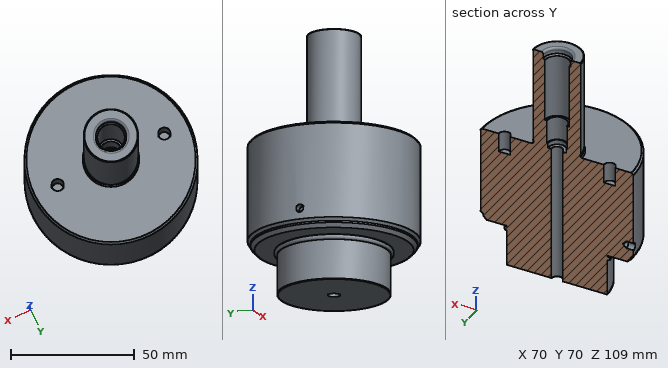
import cadquery as cq
import math

TOTAL_HEIGHT = 109.0
BODY_RADIUS = 35.0
BODY_TOP_Z = 63.0
BODY_TOP_CHAMFER = 0.9
BODY_BOTTOM_Z = 22.6
BODY_BOTTOM_CHAMFER = 1.2

RING_BOTTOM_Z = 19.0
RING_CHAMFER = 1.6

SPIGOT_RADIUS = 23.0
SPIGOT_CHAMFER = 0.3
BEAD_SECTION_RADIUS = 1.04
BEAD_CREST_RADIUS = 24.2
BEAD_CENTRE_Z = 17.8

SHAFT_RADIUS = 11.0
SHAFT_CHAMFER = 0.3
NECK_RADIUS = 10.8
NECK_HEIGHT = 0.7
NECK_TOP_HEIGHT = 1.7
FOOT_RADIUS = 11.4

MOUTH_RADIUS = 7.2
MOUTH_CURVE_RADIUS = 1.1
COUNTERBORE_RADIUS = 6.2
COUNTERBORE_DEPTH = 2.9
UPPER_BORE_RADIUS = 5.5
UPPER_BORE_DEPTH = 32.7
LOWER_BORE_RADIUS = 4.52
LOWER_BORE_DEPTH = 43.6
PILOT_RADIUS = 4.1
PILOT_DEPTH = 45.8
THROUGH_RADIUS = 2.5

PIN_HOLE_DIAMETER = 5.0
PIN_HOLE_DEPTH = 8.7
PIN_HOLE_OFFSET = 24.0
SIDE_HOLE_RADIUS = 1.58
SIDE_HOLE_Z = 27.1
SIDE_HOLE_DEPTH = 3.3


def make_outside():
    """Revolve the outer profile, drawn as (radius, height), about Z."""
    ring_radius = BODY_RADIUS - BODY_BOTTOM_CHAMFER
    bead_centre_radius = BEAD_CREST_RADIUS - BEAD_SECTION_RADIUS
    bead_bottom_z = BEAD_CENTRE_Z - BEAD_SECTION_RADIUS
    bead_top_z = BEAD_CENTRE_Z + BEAD_SECTION_RADIUS
    neck_bottom_z = BODY_TOP_Z + NECK_HEIGHT
    neck_top_z = BODY_TOP_Z + NECK_TOP_HEIGHT
    profile = (
        cq.Workplane("XZ")
        .lineTo(SPIGOT_RADIUS - SPIGOT_CHAMFER, 0)
        .lineTo(SPIGOT_RADIUS, SPIGOT_CHAMFER)
        .lineTo(SPIGOT_RADIUS, bead_bottom_z)
        .lineTo(bead_centre_radius, bead_bottom_z)
        .threePointArc((BEAD_CREST_RADIUS, BEAD_CENTRE_Z), (bead_centre_radius, bead_top_z))
        .lineTo(SPIGOT_RADIUS, bead_top_z)
        .lineTo(SPIGOT_RADIUS, RING_BOTTOM_Z)
        .lineTo(ring_radius - RING_CHAMFER, RING_BOTTOM_Z)
        .lineTo(ring_radius, RING_BOTTOM_Z + RING_CHAMFER)
        .lineTo(ring_radius, BODY_BOTTOM_Z - BODY_BOTTOM_CHAMFER)
        .lineTo(BODY_RADIUS, BODY_BOTTOM_Z)
        .lineTo(BODY_RADIUS, BODY_TOP_Z - BODY_TOP_CHAMFER)
        .lineTo(BODY_RADIUS - BODY_TOP_CHAMFER, BODY_TOP_Z)
        .lineTo(FOOT_RADIUS, BODY_TOP_Z)
        .lineTo(NECK_RADIUS, neck_bottom_z)
        .lineTo(NECK_RADIUS, neck_top_z - (SHAFT_RADIUS - NECK_RADIUS))
        .lineTo(SHAFT_RADIUS, neck_top_z)
        .lineTo(SHAFT_RADIUS, TOTAL_HEIGHT - SHAFT_CHAMFER)
        .lineTo(SHAFT_RADIUS - SHAFT_CHAMFER, TOTAL_HEIGHT)
        .lineTo(0, TOTAL_HEIGHT)
        .close()
    )
    return profile.revolve(360, (0, 0, 0), (0, 1, 0))


def make_axial_bore():
    """Stepped bore: rounded mouth, counterbore, tapered seat, three bores and a through hole."""
    mouth_flare = MOUTH_RADIUS - COUNTERBORE_RADIUS
    mouth_depth = math.sqrt(MOUTH_CURVE_RADIUS**2 - (MOUTH_CURVE_RADIUS - mouth_flare) ** 2)
    seat_depth = COUNTERBORE_DEPTH + COUNTERBORE_RADIUS - UPPER_BORE_RADIUS
    profile = (
        cq.Workplane("XZ")
        .lineTo(THROUGH_RADIUS, 0)
        .lineTo(THROUGH_RADIUS, TOTAL_HEIGHT - PILOT_DEPTH)
        .lineTo(PILOT_RADIUS, TOTAL_HEIGHT - PILOT_DEPTH)
        .lineTo(PILOT_RADIUS, TOTAL_HEIGHT - LOWER_BORE_DEPTH)
        .lineTo(LOWER_BORE_RADIUS, TOTAL_HEIGHT - LOWER_BORE_DEPTH)
        .lineTo(LOWER_BORE_RADIUS, TOTAL_HEIGHT - UPPER_BORE_DEPTH)
        .lineTo(UPPER_BORE_RADIUS, TOTAL_HEIGHT - UPPER_BORE_DEPTH)
        .lineTo(UPPER_BORE_RADIUS, TOTAL_HEIGHT - seat_depth)
        .lineTo(COUNTERBORE_RADIUS, TOTAL_HEIGHT - COUNTERBORE_DEPTH)
        .lineTo(COUNTERBORE_RADIUS, TOTAL_HEIGHT - mouth_depth)
        .tangentArcPoint((MOUTH_RADIUS, TOTAL_HEIGHT), relative=False)
        .lineTo(0, TOTAL_HEIGHT)
        .close()
    )
    return profile.revolve(360, (0, 0, 0), (0, 1, 0))


def make_pin_holes():
    """Two blind holes in the top face of the body, on the X axis."""
    return (
        cq.Workplane("XY", origin=(0, 0, BODY_TOP_Z))
        .pushPoints([(-PIN_HOLE_OFFSET, 0), (PIN_HOLE_OFFSET, 0)])
        .circle(PIN_HOLE_DIAMETER / 2)
        .extrude(-PIN_HOLE_DEPTH)
    )


def make_side_hole():
    """Radial blind hole with a conical tip, entering from the -X side."""
    tip_depth = SIDE_HOLE_DEPTH + SIDE_HOLE_RADIUS
    profile = (
        cq.Workplane("XZ", origin=(-BODY_RADIUS, 0, SIDE_HOLE_Z))
        .lineTo(0, SIDE_HOLE_RADIUS)
        .lineTo(SIDE_HOLE_DEPTH, SIDE_HOLE_RADIUS)
        .lineTo(tip_depth, 0)
        .close()
    )
    return profile.revolve(360, (0, 0, 0), (1, 0, 0))


result = make_outside().cut(make_axial_bore()).cut(make_pin_holes()).cut(make_side_hole())